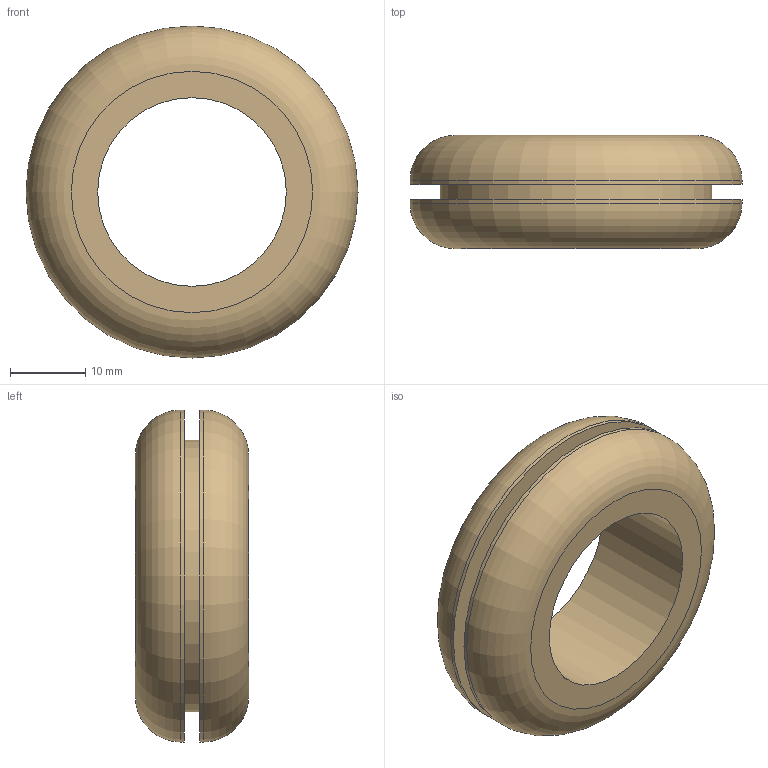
import cadquery as cq

outer_diameter = 44.0
bore_diameter = 25.0
groove_diameter = 36.0
length = 15.0
groove_width = 2.0
rim_radius = 6.0

outer_radius = outer_diameter / 2
bore_radius = bore_diameter / 2
groove_radius = groove_diameter / 2
half_length = length / 2
half_groove = groove_width / 2


def make_grommet():
    """Revolve the grooved cross-section about Y, the axis of the bore."""
    profile = (
        cq.Workplane("YZ")
        .moveTo(-half_length, bore_radius)
        .lineTo(half_length, bore_radius)
        .lineTo(half_length, outer_radius)
        .lineTo(half_groove, outer_radius)
        .lineTo(half_groove, groove_radius)
        .lineTo(-half_groove, groove_radius)
        .lineTo(-half_groove, outer_radius)
        .lineTo(-half_length, outer_radius)
        .close()
    )
    return profile.revolve(360, (0, 0), (1, 0))


def round_rims(grommet):
    """Round the outer edge of each end face, leaving the bore edges sharp."""
    outer_rims = grommet.faces("<Y or >Y").edges(cq.selectors.RadiusNthSelector(-1))
    return outer_rims.fillet(rim_radius)


result = round_rims(make_grommet())